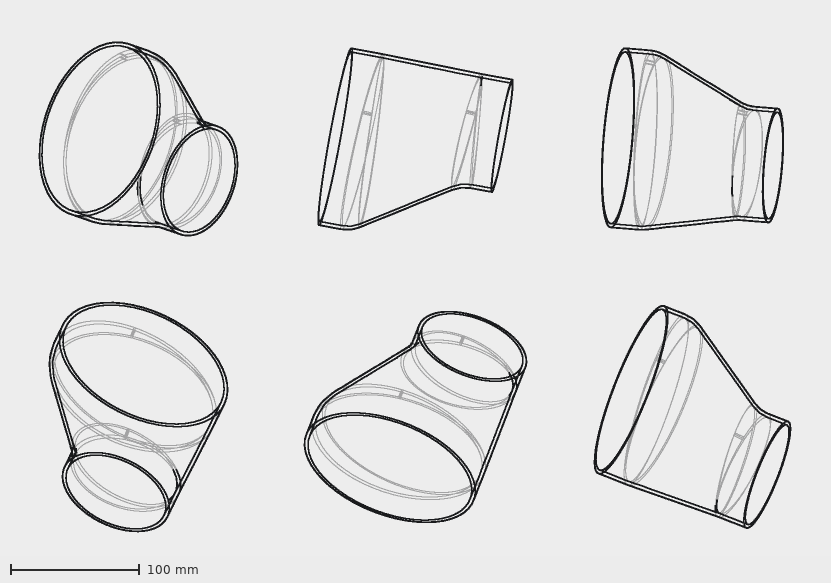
import cadquery as cq


large_diameter = 139.7
small_diameter = 88.9
large_bore = 133.9
total_length = 127.0
cone_start = 25.0
cone_end = 102.5
bend_radius = 25.0

flush_gap = 0.03

wall = (large_diameter - large_bore) / 2
small_axis_y = (small_diameter - large_diameter) / 2 + flush_gap
x_axis = cq.Vector(1, 0, 0)
large_centre = cq.Vector(cone_start, 0, 0)
small_centre = cq.Vector(cone_end, small_axis_y, 0)


def bend_edges(body, x):
    """Edges of the body that lie in the plane at x."""
    margin = 0.1
    reach = large_diameter
    region = cq.selectors.BoxSelector(
        (x - margin, -reach, -reach),
        (x + margin, reach, reach),
    )
    return body.edges(region)


def reducer_solid(inset):
    """Solid reducer whose whole surface lies inset inside the outer wall."""
    large_rim = cq.Wire.makeCircle(large_diameter / 2 - inset, large_centre, x_axis)
    small_rim = cq.Wire.makeCircle(small_diameter / 2 - inset, small_centre, x_axis)

    large_tube = cq.Solid.extrudeLinear(large_rim, [], x_axis * -cone_start)
    cone = cq.Solid.makeLoft([large_rim, small_rim], True)
    small_tube = cq.Solid.extrudeLinear(small_rim, [], x_axis * (total_length - cone_end))
    body = cq.Workplane(large_tube).union(cone).union(small_tube)

    body = bend_edges(body, cone_start).fillet(bend_radius - inset)
    return bend_edges(body, cone_end).fillet(bend_radius + inset)


result = reducer_solid(0).cut(reducer_solid(wall))